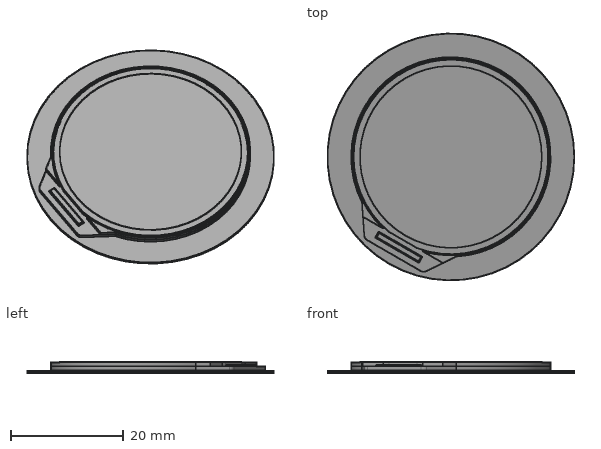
import cadquery as cq
import math

flange_height = 0.4
base_bottom = 0.55
base_top = 1.25
strip_height = 0.25
rim_top = 1.95
overall_height = 2.05

flange_diameter = 44.0
case_diameter = 35.55
rim_inner_diameter = 35.1
insert_diameter = 34.65
window_diameter = 32.4

tab_turn = -30.0
step_distance = 17.05
tab_distance = 20.3
tab_step_half_width = 8.25
tab_side_angle = 34.0
tab_corner_radius = 1.0

strip_length = 8.98
strip_width = 1.25
strip_distance = 18.55
strip_side_taper = 35.0


def disc(diameter, bottom, top):
    """Round plate between two heights."""
    return cq.Workplane("XY").workplane(offset=bottom).circle(diameter / 2).extrude(top - bottom)


def tab_half_width(distance):
    """Half width of the tapering tab at a distance from the centre."""
    return tab_step_half_width - (distance - step_distance) * math.tan(math.radians(tab_side_angle))


def turn_to_tab(body):
    """Turn a body built along -Y to the direction of the tab."""
    return body.rotate((0, 0, 0), (0, 0, 1), tab_turn)


def case_layer(bottom, top):
    """Round case with the tapering tab, between two heights."""
    root_distance = step_distance - tab_step_half_width / 2
    root = tab_half_width(root_distance)
    tip = tab_half_width(tab_distance)
    tab = (
        cq.Workplane("XY").workplane(offset=bottom)
        .polyline([(-root, -root_distance), (-tip, -tab_distance), (tip, -tab_distance), (root, -root_distance)])
        .close()
        .extrude(top - bottom)
        .edges("|Z and <Y").fillet(tab_corner_radius)
    )
    return disc(case_diameter, bottom, top).union(tab)


def cut_at_step(body):
    """Remove everything beyond the straight step above the tab."""
    beyond_step = cq.Workplane("XY").box(
        flange_diameter, flange_diameter, 2 * overall_height
    ).translate((0, -step_distance - flange_diameter / 2, 0))
    return body.cut(beyond_step)


flange = disc(flange_diameter, 0, flange_height)

base = turn_to_tab(case_layer(base_bottom, base_top))

rim_opening = disc(rim_inner_diameter, base_top, rim_top)
rim = turn_to_tab(cut_at_step(case_layer(base_top, rim_top).cut(rim_opening)))
insert = turn_to_tab(cut_at_step(disc(insert_diameter, base_top, rim_top)))

window = disc(window_diameter, rim_top, overall_height)

strip = turn_to_tab(
    cq.Workplane("XY")
    .rect(strip_length, strip_width)
    .extrude(strip_height, taper=strip_side_taper)
    .translate((0, -strip_distance, base_top))
)

bodies = (flange, base, rim, insert, window, strip)
result = cq.Compound.makeCompound([body.solids().val() for body in bodies])